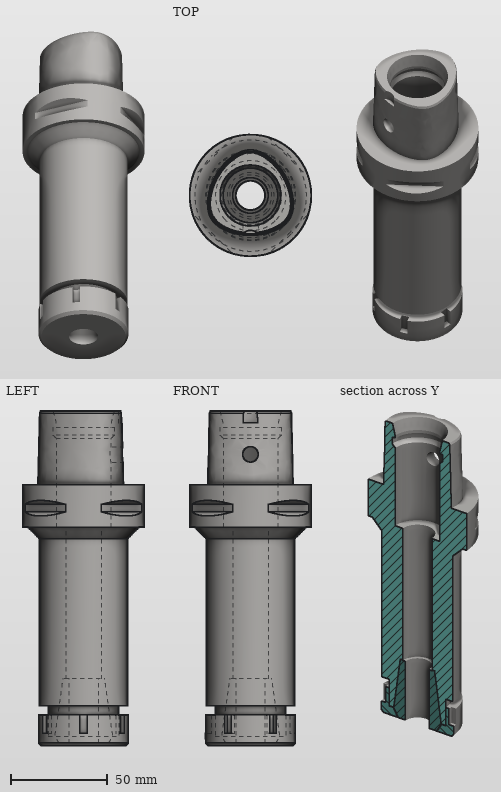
import cadquery as cq
import math


SHANK_LENGTH = 38.0
SHANK_RADIUS = 22.15
SHANK_LOBE = 1.45
SHANK_TAPER = 1 / 40
SHANK_CHAMFER_HEIGHT = 1.2
SHANK_CHAMFER_WIDTH = 0.5
CURVE_POINTS = 120

NOTCH_RADIUS = 5.0
NOTCH_CENTER_Y = -23.05
NOTCH_DEPTH = 6.0
CROSS_HOLE_DIAMETER = 8.0
CROSS_HOLE_Z = 15.6

FLANGE_RADIUS = 31.5
FLANGE_HEIGHT = 22.0
GROOVE_COUNT = 4
GROOVE_Z = -12.2
GROOVE_FLOOR_RADIUS = 27.8
GROOVE_FLOOR_HEIGHT = 3.8
GROOVE_FLANK_ANGLE = 30.0

BODY_RADIUS = 22.85
CONE_TOP_RADIUS = 28.8
CONE_HEIGHT = CONE_TOP_RADIUS - BODY_RADIUS
BODY_BOTTOM_Z = -114.3
NECK_RADIUS = 18.15

BOTTOM_Z = -135.0
NUT_RADIUS = 23.25
NUT_HEIGHT = 16.0
NUT_TOP_Z = BOTTOM_Z + NUT_HEIGHT
NUT_CHAMFER = 1.5
NUT_LIP_HEIGHT = 5.0
NUT_MOUTH_RADIUS = 12.0
SLOT_COUNT = 6
SLOT_WIDTH = 4.0
SLOT_DEPTH = 3.0
SLOT_LENGTH = 9.4

MOUTH_RADIUS = 15.75
BORE_RADIUS = 14.1
LAND_TOP_DEPTH = 6.8
UNDERCUT_TOP_DEPTH = 8.5
UNDERCUT_BOTTOM_DEPTH = 12.2
UNDERCUT_RADIUS = 16.0
LOWER_BORE_DEPTH = 14.1
BORE_DEPTH = SHANK_LENGTH + FLANGE_HEIGHT
CHANNEL_RADIUS = 9.2

NOSE_Z = BOTTOM_Z + NUT_LIP_HEIGHT
COLLET_RADIUS = 15.0
COLLET_HOLE_RADIUS = 7.5
COLLET_SEAT_LENGTH = 30.0
COLLET_HALF_ANGLE = 8.0
COLLET_SMALL_RADIUS = COLLET_RADIUS - COLLET_SEAT_LENGTH * math.tan(math.radians(COLLET_HALF_ANGLE))
COLLET_TOP_Z = NOSE_Z + COLLET_SEAT_LENGTH

OVERCUT = 1.0


def revolve_profile(points):
    """Solid of revolution about Z from (radius, z) points."""
    return cq.Workplane("XZ").polyline(points).close().revolve(360, (0, 0), (0, 1))


def lobed_wire(mean_radius, z):
    """Closed three-lobed curve: its distance to a tangent is mean_radius + SHANK_LOBE * cos(3 * angle)."""

    def point(t):
        angle = 2 * math.pi * t
        support = mean_radius + SHANK_LOBE * math.cos(3 * angle)
        slope = -3 * SHANK_LOBE * math.sin(3 * angle)
        along_lobe = support * math.cos(angle) - slope * math.sin(angle)
        across_lobe = support * math.sin(angle) + slope * math.cos(angle)
        return (-across_lobe, along_lobe, z)

    return cq.Workplane("XY").parametricCurve(point, N=CURVE_POINTS).val()


def lobed_frustum(bottom_radius, bottom_z, top_radius, top_z):
    """Straight-sided solid between two lobed curves."""
    wires = [lobed_wire(bottom_radius, bottom_z), lobed_wire(top_radius, top_z)]
    return cq.Workplane(obj=cq.Solid.makeLoft(wires, True))


def make_shank():
    """Tapered shank with a chamfered top rim."""
    rim_z = SHANK_LENGTH - SHANK_CHAMFER_HEIGHT
    rim_radius = SHANK_RADIUS - SHANK_TAPER * rim_z
    taper = lobed_frustum(SHANK_RADIUS, 0, rim_radius, rim_z)
    chamfer = lobed_frustum(rim_radius, rim_z, rim_radius - SHANK_CHAMFER_WIDTH, SHANK_LENGTH)
    return taper.union(chamfer)


def make_outer_body():
    """Flange, cone, body and the neck that enters the nut."""
    return revolve_profile([
        (0, 0),
        (FLANGE_RADIUS, 0),
        (FLANGE_RADIUS, -FLANGE_HEIGHT),
        (CONE_TOP_RADIUS, -FLANGE_HEIGHT),
        (BODY_RADIUS, -FLANGE_HEIGHT - CONE_HEIGHT),
        (BODY_RADIUS, BODY_BOTTOM_Z),
        (NECK_RADIUS, BODY_BOTTOM_Z),
        (NECK_RADIUS, NOSE_Z),
        (0, NOSE_Z),
    ])


def make_inner_cutter():
    """Clamping bore, central channel and collet seat as one cutter."""
    top = SHANK_LENGTH
    return revolve_profile([
        (0, top),
        (MOUTH_RADIUS, top),
        (BORE_RADIUS, top - LAND_TOP_DEPTH),
        (BORE_RADIUS, top - UNDERCUT_TOP_DEPTH),
        (UNDERCUT_RADIUS, top - UNDERCUT_TOP_DEPTH),
        (UNDERCUT_RADIUS, top - UNDERCUT_BOTTOM_DEPTH),
        (BORE_RADIUS, top - LOWER_BORE_DEPTH),
        (BORE_RADIUS, top - BORE_DEPTH),
        (CHANNEL_RADIUS, top - BORE_DEPTH),
        (CHANNEL_RADIUS, COLLET_TOP_Z),
        (COLLET_SMALL_RADIUS, COLLET_TOP_Z),
        (COLLET_RADIUS, NOSE_Z),
        (0, NOSE_Z),
    ])


def make_gripper_groove():
    """Cutter for one flange groove on the +X side: flat floor and sloped flanks."""
    outer_x = FLANGE_RADIUS + OVERCUT
    flare = (outer_x - GROOVE_FLOOR_RADIUS) * math.tan(math.radians(GROOVE_FLANK_ANGLE))
    half_floor = GROOVE_FLOOR_HEIGHT / 2
    return (
        cq.Workplane("XZ")
        .polyline([
            (GROOVE_FLOOR_RADIUS, GROOVE_Z - half_floor),
            (GROOVE_FLOOR_RADIUS, GROOVE_Z + half_floor),
            (outer_x, GROOVE_Z + half_floor + flare),
            (outer_x, GROOVE_Z - half_floor - flare),
        ])
        .close()
        .extrude(FLANGE_RADIUS, both=True)
    )


def make_notch():
    """Cutter for the round-backed notch in the shank rim."""
    return (
        cq.Workplane("XY", origin=(0, NOTCH_CENTER_Y, SHANK_LENGTH - NOTCH_DEPTH))
        .circle(NOTCH_RADIUS)
        .extrude(NOTCH_DEPTH + OVERCUT)
    )


def make_cross_hole():
    """Cutter for the radial hole from the -Y side into the clamping bore."""
    return (
        cq.Workplane("XZ", origin=(0, 0, CROSS_HOLE_Z))
        .circle(CROSS_HOLE_DIAMETER / 2)
        .extrude(SHANK_RADIUS + OVERCUT)
    )


def make_holder():
    body = make_shank().union(make_outer_body())
    body = body.cut(make_inner_cutter())
    body = body.cut(make_notch()).cut(make_cross_hole())
    pitch = 360 / GROOVE_COUNT
    for i in range(GROOVE_COUNT):
        body = body.cut(make_gripper_groove().rotate((0, 0, 0), (0, 0, 1), (i + 0.5) * pitch))
    return body


def make_nut():
    """Nut around the neck, with a conical lip below the nose and wrench slots open at the top."""
    body = revolve_profile([
        (NECK_RADIUS, NUT_TOP_Z),
        (NUT_RADIUS, NUT_TOP_Z),
        (NUT_RADIUS, BOTTOM_Z + NUT_CHAMFER),
        (NUT_RADIUS - NUT_CHAMFER, BOTTOM_Z),
        (NUT_MOUTH_RADIUS, BOTTOM_Z),
        (COLLET_RADIUS, NOSE_Z),
        (NECK_RADIUS, NOSE_Z),
    ])
    slot = (
        cq.Workplane("XY", origin=(NUT_RADIUS - SLOT_DEPTH, 0, NUT_TOP_Z - SLOT_LENGTH))
        .box(SLOT_DEPTH + OVERCUT, SLOT_WIDTH, SLOT_LENGTH + OVERCUT, centered=(False, True, False))
    )
    for i in range(SLOT_COUNT):
        body = body.cut(slot.rotate((0, 0, 0), (0, 0, 1), i * 360 / SLOT_COUNT))
    return body


def make_collet():
    """Collet with a long cone in the holder and a short cone in the nut."""
    return revolve_profile([
        (COLLET_HOLE_RADIUS, COLLET_TOP_Z),
        (COLLET_SMALL_RADIUS, COLLET_TOP_Z),
        (COLLET_RADIUS, NOSE_Z),
        (NUT_MOUTH_RADIUS, BOTTOM_Z),
        (COLLET_HOLE_RADIUS, BOTTOM_Z),
    ])


holder = make_holder()
nut = make_nut()
collet = make_collet()

result = cq.Compound.makeCompound([
    holder.solids().val(),
    nut.solids().val(),
    collet.solids().val(),
])